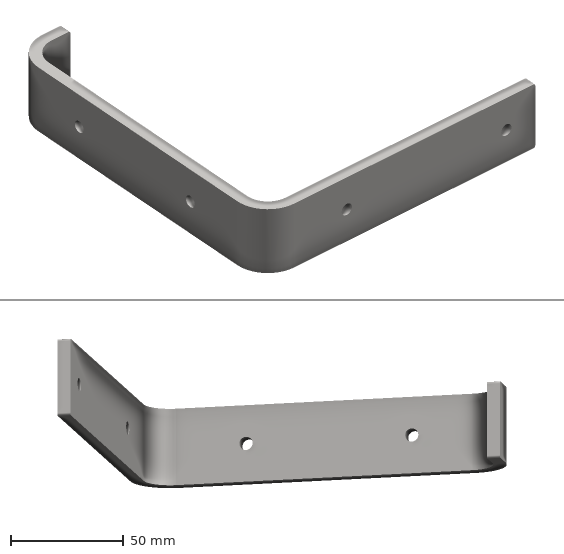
import cadquery as cq

length = 172.0
depth = 160.0
height = 35.0
thickness = 6.0
hook_depth = 29.0

outer_radius = 18.0
inner_radius = outer_radius - thickness
corner_radius = 1.0

hole_diameter = 6.0
base_hole_xs = (46.0, 122.0)
arm_hole_ys = (49.0, depth - 17.0)


def make_strip():
    """J-shaped strip: short hook at x = 0, base along X, long arm at x = length."""
    inner_right = length - thickness
    outline = (
        cq.Workplane("XY")
        .moveTo(0, hook_depth)
        .lineTo(0, outer_radius)
        .radiusArc((outer_radius, 0), -outer_radius)
        .lineTo(length - outer_radius, 0)
        .radiusArc((length, outer_radius), -outer_radius)
        .lineTo(length, depth)
        .lineTo(inner_right, depth)
        .lineTo(inner_right, outer_radius)
        .radiusArc((length - outer_radius, thickness), inner_radius)
        .lineTo(outer_radius, thickness)
        .radiusArc((thickness, outer_radius), inner_radius)
        .lineTo(thickness, hook_depth)
        .close()
    )
    return outline.extrude(height)


def round_end_corners(strip):
    """Round the top and bottom corners of both free ends."""
    return strip.faces("+Y").faces("<X or >X").edges("|X").fillet(corner_radius)


def base_hole(x):
    """Cutter through the base, along Y."""
    center = cq.Vector(x, 0, height / 2)
    return cq.Solid.makeCylinder(hole_diameter / 2, thickness, center, cq.Vector(0, 1, 0))


def arm_hole(y):
    """Cutter through the long arm, along X."""
    center = cq.Vector(length - thickness, y, height / 2)
    return cq.Solid.makeCylinder(hole_diameter / 2, thickness, center, cq.Vector(1, 0, 0))


result = round_end_corners(make_strip())
for hole_x in base_hole_xs:
    result = result.cut(base_hole(hole_x))
for hole_y in arm_hole_ys:
    result = result.cut(arm_hole(hole_y))